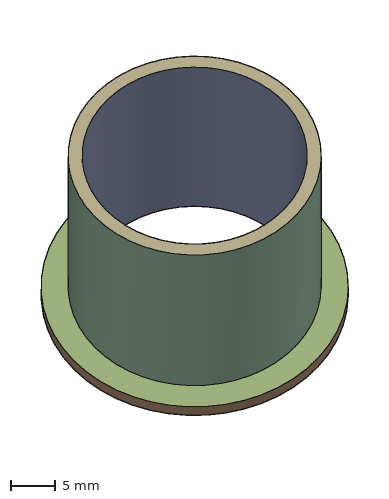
import cadquery as cq

bore_diameter = 25.4
wall_thickness = 1.5875
sleeve_diameter = bore_diameter + 2 * wall_thickness
flange_diameter = 34.67
flange_thickness = wall_thickness
overall_height = 25.4


def flange():
    """Thin disc at the bottom of the bushing."""
    return cq.Workplane("XY").circle(flange_diameter / 2).extrude(flange_thickness)


def sleeve():
    """Cylindrical body, running the full height of the bushing."""
    return cq.Workplane("XY").circle(sleeve_diameter / 2).extrude(overall_height)


def bore():
    """Straight hole through the flange and the sleeve."""
    return cq.Workplane("XY").circle(bore_diameter / 2).extrude(overall_height)


result = flange().union(sleeve()).cut(bore())